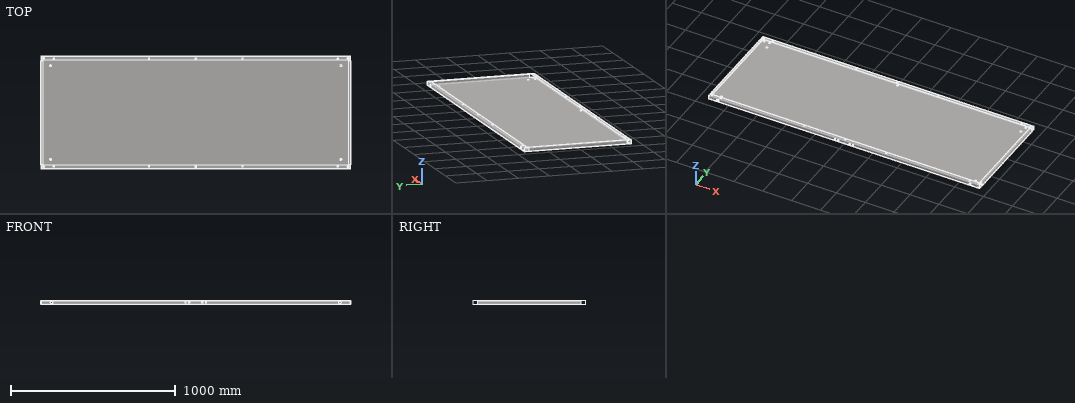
import cadquery as cq

length = 1883.0
width = 685.0
height = 25.0
sheet = 1.3

side_length = 1877.0
side_lip = 23.0
side_bend_radius = 2.0

end_length = 629.0
end_lip = 15.0
end_bend_radius = 2.8

lip_hole_diameter = 8.0
lip_hole_y = 328.0
lip_hole_spots = [0, 285.0, 862.0, 925.0]

through_hole_diameter = 13.0
through_hole_x = 875.0
wall_hole_diameter = 8.0
outer_wall_hole_x = 62.0
inner_wall_hole_x = 40.0

floor_hole_diameter = 10.0
floor_hole_x = 881.0
floor_hole_y = 285.0
covered_hole_y = 331.0
covered_hole_spots = [0, 889.0, 925.0]

floor_z = -height / 2
lip_z = height / 2 - sheet


def folded_channel(across, along, lip, bend_radius):
    """Floor with two walls across X and two inward lips, running along Y."""
    outer = cq.Workplane("XY").box(across, along, height)
    outer = outer.edges("|Y").fillet(bend_radius)
    inner = cq.Workplane("XY").box(across - 2 * sheet, along, height - 2 * sheet)
    inner = inner.edges("|Y").fillet(bend_radius - sheet)
    opening = cq.Workplane("XY").box(across - 2 * lip, along, height)
    opening = opening.translate((0, 0, height / 2))
    return outer.cut(inner).cut(opening)


def both_sides(spots):
    """Positions repeated on either side of zero."""
    return sorted({sign * spot for spot in spots for sign in (-1, 1)})


def sheet_holes(x_spots, y_spots, diameter, bottom_z):
    """Upright drills through one sheet, at every mirrored X and Y position."""
    points = [(x, y) for x in both_sides(x_spots) for y in both_sides(y_spots)]
    plane = cq.Workplane("XY").workplane(offset=bottom_z)
    return plane.pushPoints(points).circle(diameter / 2).extrude(sheet)


def wall_holes(x_spot, diameter, depth):
    """Level drills entering the -Y wall at both mirrored X positions."""
    plane = cq.Workplane("XZ", origin=(0, -width / 2, 0))
    points = [(x, 0) for x in both_sides([x_spot])]
    return plane.pushPoints(points).circle(diameter / 2).extrude(-depth)


sides = folded_channel(width, side_length, side_lip, side_bend_radius)
sides = sides.rotate((0, 0, 0), (0, 0, 1), 90)
ends = folded_channel(length, end_length, end_lip, end_bend_radius)
tray = sides.union(ends)

tray = tray.cut(sheet_holes(lip_hole_spots, [lip_hole_y], lip_hole_diameter, lip_z))
tray = tray.cut(sheet_holes([floor_hole_x], [floor_hole_y], floor_hole_diameter, floor_z))
tray = tray.cut(sheet_holes(covered_hole_spots, [covered_hole_y], floor_hole_diameter, floor_z))

tray = tray.cut(wall_holes(through_hole_x, through_hole_diameter, width))
tray = tray.cut(wall_holes(outer_wall_hole_x, wall_hole_diameter, sheet))
result = tray.cut(wall_holes(inner_wall_hole_x, wall_hole_diameter, sheet))